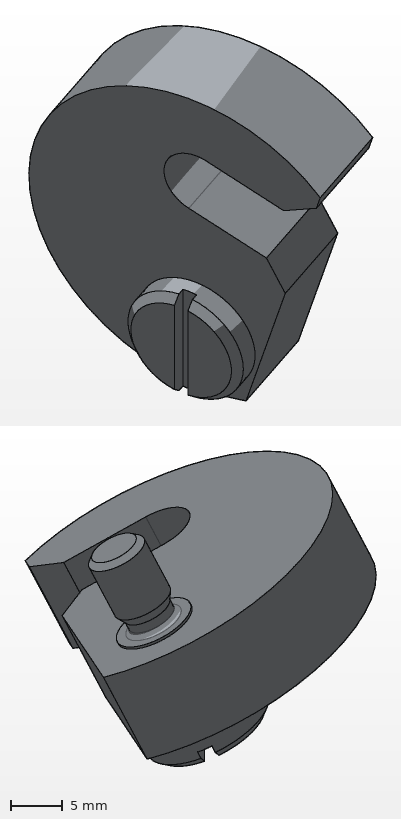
import cadquery as cq
import math

disc_radius = 18.98
disc_thickness = 9.85

tilt = 15.0
flat_distance = 10.0
slot_center_z = 7.97
slot_half_width = 3.75
mouth_chamfer = 3.0

screw_z = -11.6
head_radius = 6.5
head_height = 3.05
head_chamfer = 0.85
driver_slot_width = 1.5
driver_slot_depth = 1.6

collar_radius = 4.0
collar_height = 0.25
neck_radius = 2.43
neck_fillet = 0.55
neck_end = 1.75
stud_radius = 3.0
stud_cone_end = 2.77
stud_length = 9.22
stud_chamfer = 0.6


def make_hooked_disc():
    """Disc cut by a flat and by a round-bottomed slot with a chamfered mouth."""
    slot_u = -slot_center_z * math.sin(math.radians(tilt))
    slot_v = slot_center_z * math.cos(math.radians(tilt))
    lower_v = slot_v - slot_half_width
    upper_v = slot_v + slot_half_width
    corner_u = flat_distance - mouth_chamfer
    corner_v = math.sqrt(disc_radius**2 - flat_distance**2)
    return (
        cq.Workplane("XZ")
        .moveTo(flat_distance, -corner_v)
        .lineTo(flat_distance, lower_v - mouth_chamfer)
        .lineTo(corner_u, lower_v)
        .lineTo(slot_u, lower_v)
        .threePointArc((slot_u - slot_half_width, slot_v), (slot_u, upper_v))
        .lineTo(corner_u, upper_v)
        .lineTo(flat_distance, upper_v + mouth_chamfer)
        .lineTo(flat_distance, corner_v)
        .threePointArc((-disc_radius, 0), (flat_distance, -corner_v))
        .close()
        .extrude(-disc_thickness)
        .rotate((0, 0, 0), (0, 1, 0), tilt)
    )


def make_screw_head():
    """Chamfered cylindrical head with a driver slot running along Z."""
    head = (
        cq.Workplane("XZ")
        .center(0, screw_z)
        .circle(head_radius)
        .extrude(head_height)
        .faces("<Y")
        .chamfer(head_chamfer)
    )
    driver_slot = (
        cq.Workplane("XZ", origin=(0, -head_height, screw_z))
        .rect(driver_slot_width, 2 * head_radius)
        .extrude(-driver_slot_depth)
    )
    return head.cut(driver_slot)


def make_stud():
    """Revolved collar, undercut neck and chamfered stud."""
    neck_start = collar_height + neck_fillet
    arc_offset = neck_fillet * (1 - math.sqrt(0.5))
    return (
        cq.Workplane("XY", origin=(0, disc_thickness, screw_z))
        .lineTo(collar_radius, 0)
        .lineTo(collar_radius, collar_height)
        .lineTo(neck_radius + neck_fillet, collar_height)
        .threePointArc(
            (neck_radius + arc_offset, collar_height + arc_offset),
            (neck_radius, neck_start),
        )
        .lineTo(neck_radius, neck_end)
        .lineTo(stud_radius, stud_cone_end)
        .lineTo(stud_radius, stud_length - stud_chamfer)
        .lineTo(stud_radius - stud_chamfer, stud_length)
        .lineTo(0, stud_length)
        .close()
        .revolve(360, (0, 0, 0), (0, 1, 0))
    )


result = make_hooked_disc().union(make_screw_head()).union(make_stud())